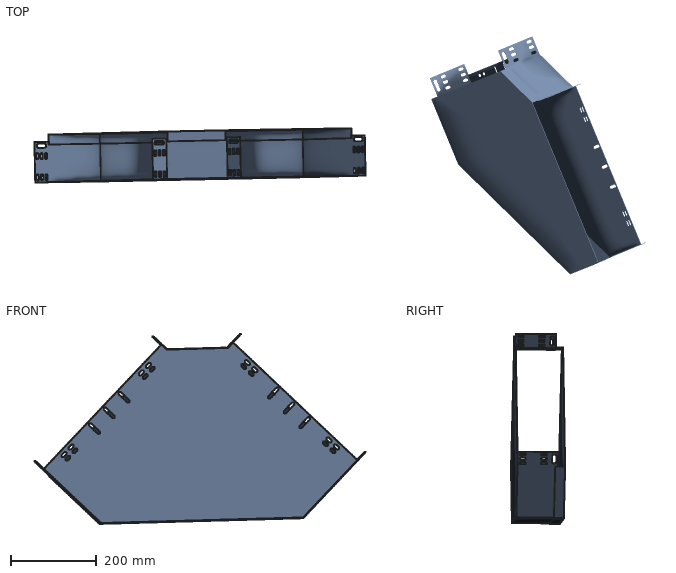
import cadquery as cq
import math


sheet = 1.2
channel_width = 402.0
inner_wall_length = 141.0
turn = 45

flap_reach = 45.0
flap_overhang = 27.0
floor_reach = flap_reach - flap_overhang
lid_reach = -1.5

flap_height = 95.0
wall_height = 89.0
lip_overlap = 1.0
lip_bottom = wall_height - lip_overlap
lid_height = 112.0

slot_width = 7.0
short_slot_length = 14.0

flap_slot_setback = 22.5
flap_slot_pitch = 14.0
flap_short_slot_depths = (12.5, 62.0)
flap_long_slot_length = 29.5
flap_long_slot_width = 9.0
flap_long_slot_depth = flap_height - 9.0

floor_long_slot_length = 33.0
floor_long_slot_setback = 22.0
floor_long_slot_pitch = 50.0
floor_short_slot_offsets = (119.0, 143.0)
floor_short_slot_setbacks = (12.0, 24.0)

tilt_x = -0.3
tilt_y = -1.6
tilt_z = 1.2

margin = 8

half_inner_wall = inner_wall_length / 2
half_turn_slope = math.tan(math.radians(turn / 2))
diagonal = math.sqrt(0.5)


def prism(points, start, end):
    """Extrude an XZ outline from depth `start` to depth `end`."""
    return cq.Workplane("XZ", origin=(0, start, 0)).polyline(points).close().extrude(start - end)


def corner_point(across):
    """Point on the left mitre line of the bend, `across` from the inner wall."""
    return -half_inner_wall - across * half_turn_slope, channel_width - across


def leg_point(across, reach):
    """Point on the left leg, `across` from its inner wall and `reach` past the inner corner."""
    corner_x, corner_z = corner_point(across)
    along = (reach + across * half_turn_slope) * diagonal
    return corner_x - along, corner_z + along


def bend(reach, growth, start, end):
    """Solid bend with both legs cut square at `reach`; `growth` moves its sides outwards."""
    inner = -growth
    outer = channel_width + growth
    untrimmed_reach = flap_reach + 2 * margin
    left_side = [
        corner_point(outer),
        leg_point(outer, untrimmed_reach),
        leg_point(inner, untrimmed_reach),
        corner_point(inner),
    ]
    right_side = [(-x, z) for x, z in reversed(left_side)]

    apex = channel_width + half_inner_wall + reach / diagonal
    base = -margin
    between_ends = [(base - apex, base), (0, apex), (apex - base, base)]

    channel = prism(left_side + right_side, start, end)
    return channel.intersect(prism(between_ends, start, end))


def both_legs(cutters):
    """Join the left leg's cutters and repeat them, mirrored, on the right leg."""
    joined = cutters[0]
    for cutter in cutters[1:]:
        joined = joined.union(cutter)
    return joined.union(joined.mirror("YZ"))


def floor_slot(offset, setback, length, angle):
    """Cutter through the floor, `offset` from the leg's centre line and `setback` from its end."""
    x, z = leg_point(channel_width / 2 + offset, floor_reach - setback)
    plane = cq.Workplane("XZ", origin=(x, -margin, z))
    return plane.slot2D(length, slot_width, angle).extrude(-(sheet + 2 * margin))


def floor_slots():
    """Three long slots across each leg's end, with four short slots along it at either side."""
    cutters = []
    for step in (-1, 0, 1):
        offset = step * floor_long_slot_pitch
        cutters.append(floor_slot(offset, floor_long_slot_setback, floor_long_slot_length, -turn))
    for side in (-1, 1):
        for offset in floor_short_slot_offsets:
            for setback in floor_short_slot_setbacks:
                cutters.append(floor_slot(side * offset, setback, short_slot_length, turn))
    return both_legs(cutters)


def flap_slot(setback, depth, length, width, angle):
    """Cutter through the inner and outer flaps of a leg, `setback` from their tips."""
    x, z = leg_point(-margin, flap_reach - setback)
    plane = cq.Plane(
        origin=(x, depth, z),
        xDir=(-diagonal, 0, diagonal),
        normal=(-diagonal, 0, -diagonal),
    )
    return cq.Workplane(plane).slot2D(length, width, angle).extrude(channel_width + 2 * margin)


def flap_slots():
    """One long slot near the free edge of each flap and two rows of three short slots."""
    long_slot = flap_slot(
        flap_slot_setback, flap_long_slot_depth, flap_long_slot_length, flap_long_slot_width, 0
    )
    cutters = [long_slot]
    for step in (-1, 0, 1):
        setback = flap_slot_setback + step * flap_slot_pitch
        for depth in flap_short_slot_depths:
            cutters.append(flap_slot(setback, depth, short_slot_length, slot_width, 90))
    return both_legs(cutters)


def make_tray():
    """Floor and two walls; the walls are lower under the lid than at the flaps."""
    floor = bend(floor_reach, 0, 0, sheet)
    walls = bend(flap_reach, 0, 0, flap_height)
    walls = walls.cut(bend(flap_reach + margin, -sheet, 0, flap_height))
    walls = walls.cut(bend(lid_reach, sheet, wall_height, flap_height))
    return floor.union(walls).cut(floor_slots()).cut(flap_slots())


def make_lid():
    """Top sheet with a lip along both sides, fitting over the outside of the walls."""
    hollow = bend(lid_reach + margin, 0, lip_bottom, lid_height - sheet)
    return bend(lid_reach, sheet, lip_bottom, lid_height).cut(hollow)


def tipped(body):
    """Turn a body about the X, Y and Z axes in that order."""
    for axis, angle in (((1, 0, 0), tilt_x), ((0, 1, 0), tilt_y), ((0, 0, 1), tilt_z)):
        body = body.rotate((0, 0, 0), axis, angle)
    return body


tray = tipped(make_tray())
lid = tipped(make_lid())
result = cq.Compound.makeCompound([tray.solids().val(), lid.solids().val()])